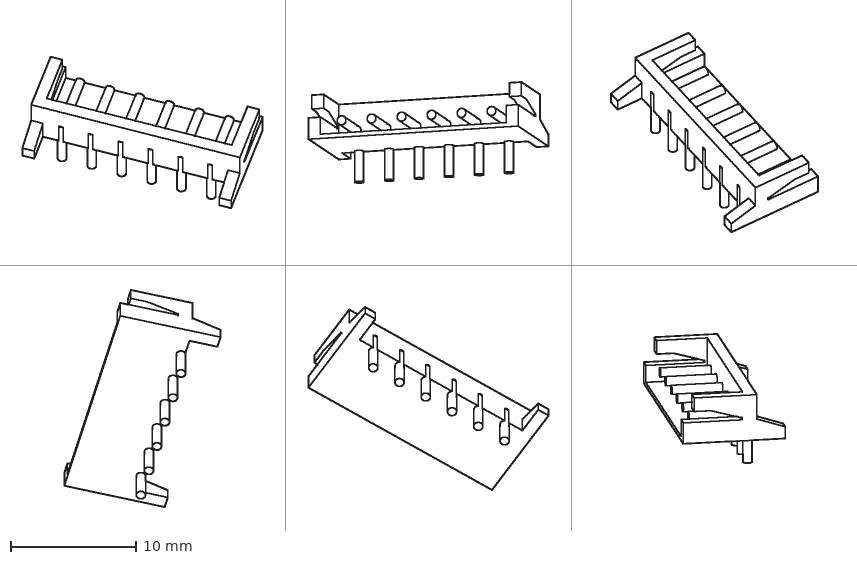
import cadquery as cq

length = 17.5
height = 3.78
wall = 1.0
floor_thickness = 0.35
floor_back = 5.98
upper_arm_back = 5.11

rail_height = 1.75
slot_inner_y = 1.2
slot_inner_height = 1.9
slot_flat_start_y = 3.75
slot_roof_height = 2.65

foot_reach = 2.31
foot_tip_height = 0.98

pin_count = 6
pin_pitch = 2.5
pin_radius = 0.37
pin_protrusion = 0.05
pin_top = 1.92
pin_drop = 2.52
pin_axis_y = pin_radius - pin_protrusion
pin_axis_z = pin_top - pin_radius


def side_wall(x_start):
    """Slotted side wall with its foot, extruded from a YZ profile."""
    profile = [
        (-foot_reach, 0),
        (floor_back, 0),
        (floor_back, rail_height),
        (slot_inner_y, rail_height),
        (slot_inner_y, slot_inner_height),
        (slot_flat_start_y, slot_roof_height),
        (upper_arm_back, slot_roof_height),
        (upper_arm_back, height),
        (0, height),
        (0, rail_height),
        (-foot_reach, foot_tip_height),
    ]
    return cq.Workplane("YZ", origin=(x_start, 0, 0)).polyline(profile).close().extrude(wall)


def bent_pin(x):
    """Pin with a sharp mitred corner: down through the base and back over the floor."""
    path = (
        cq.Workplane("YZ", origin=(x, 0, 0))
        .moveTo(pin_axis_y, -pin_drop)
        .lineTo(pin_axis_y, pin_axis_z)
        .lineTo(upper_arm_back, pin_axis_z)
    )
    section = cq.Workplane("XY", origin=(x, pin_axis_y, -pin_drop)).circle(pin_radius)
    return section.sweep(path, transition="right")


front_wall = cq.Workplane("XY").box(length, wall, height, centered=(True, False, False))
floor = cq.Workplane("XY").box(length, floor_back, floor_thickness, centered=(True, False, False))
result = front_wall.union(floor)

for side_start in (-length / 2, length / 2 - wall):
    result = result.union(side_wall(side_start))

for index in range(pin_count):
    pin_x = (index - (pin_count - 1) / 2) * pin_pitch
    result = result.union(bent_pin(pin_x))